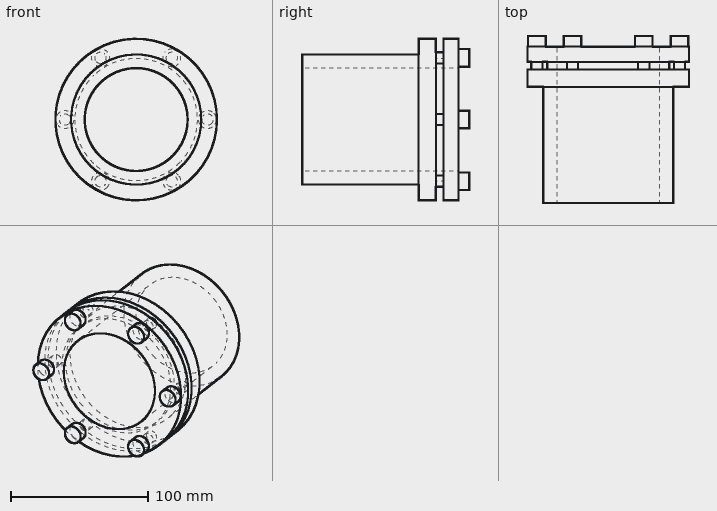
import cadquery as cq

total_length = 122.0
flange_thickness = 12.7
gap_width = 5.4
ring_thickness = 11.2
head_height = 7.8
pipe_length = total_length - flange_thickness - gap_width - ring_thickness - head_height

flange_diameter = 118.0
pipe_diameter = 94.9
bore_diameter = 74.9
spigot_diameter = 89.3

bolt_count = 6
bolt_circle_diameter = 104.0
head_diameter = 13.0
shank_diameter = 8.3

flange_start = pipe_length
gap_start = flange_start + flange_thickness
ring_start = gap_start + gap_width
head_start = ring_start + ring_thickness


def plane_at(y):
    """XZ plane at station y, with its normal along +Y."""
    return cq.Workplane(cq.Plane(origin=(0, y, 0), xDir=(1, 0, 0), normal=(0, 1, 0)))


def disc(diameter, start, length):
    return plane_at(start).circle(diameter / 2).extrude(length)


def bolt_cylinders(diameter, start, length):
    """One cylinder at each bolt position, the first on the +X axis."""
    centers = plane_at(start).polarArray(bolt_circle_diameter / 2, 0, 360, bolt_count)
    return centers.circle(diameter / 2).extrude(length)


body = disc(pipe_diameter, 0, pipe_length)
body = body.union(disc(flange_diameter, flange_start, flange_thickness))
body = body.union(disc(spigot_diameter, gap_start, gap_width))
body = body.union(disc(flange_diameter, ring_start, ring_thickness))

body = body.union(bolt_cylinders(shank_diameter, gap_start, gap_width))
body = body.union(bolt_cylinders(head_diameter, head_start, head_height))

result = body.cut(disc(bore_diameter, 0, total_length))